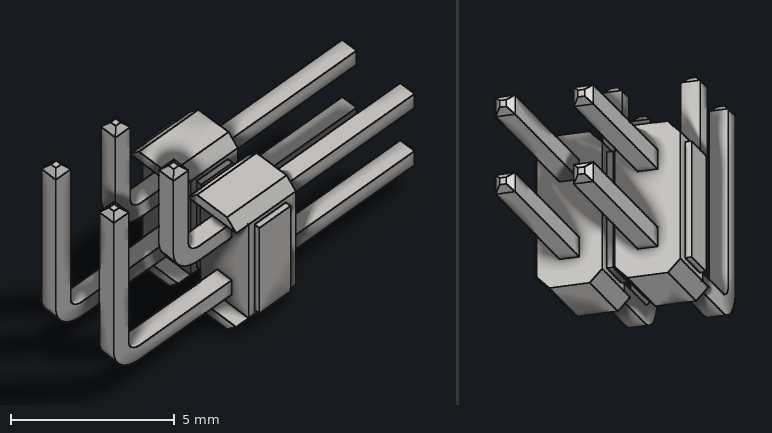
import cadquery as cq
import math


PITCH = 2.54
COLUMN_COUNT = 2
TOTAL_LENGTH = 13.04
TOTAL_HEIGHT = 8.0

BLOCK_WIDTH = 2.13
BLOCK_HEIGHT = 4.98
BLOCK_DEPTH = 2.01
FLANGE_DEPTH = PITCH
FLANGE_HEIGHT = 0.4

PAD_DEPTH = 1.33
PAD_HEIGHT = 3.81
PAD_REAR_SETBACK = 0.43

PIN_SIZE = 0.64
PIN_TIP = 0.21
BEND_OUTER_RADIUS = 1.12
REAR_PIN_LENGTH = 6

REAR_TIP_Y = TOTAL_LENGTH / 2
LONG_PIN_FRONT_Y = -TOTAL_LENGTH / 2
BLOCK_REAR_Y = REAR_TIP_Y - REAR_PIN_LENGTH
UPPER_TIP_Z = TOTAL_HEIGHT - BLOCK_HEIGHT / 2
BEND_INNER_RADIUS = BEND_OUTER_RADIUS - PIN_SIZE


def box_behind(width, depth, height, rear_y):
    """Box centred in X and Z, with its rear face at rear_y."""
    return cq.Workplane("XY").box(width, depth, height).translate((0, rear_y - depth / 2, 0))


def make_block():
    """Block with bevelled top and bottom flanges and a raised pad on each side."""
    core_height = BLOCK_HEIGHT - 2 * FLANGE_HEIGHT
    core = box_behind(BLOCK_WIDTH, BLOCK_DEPTH, core_height, BLOCK_REAR_Y)

    flange = (
        cq.Workplane("XZ", origin=(0, BLOCK_REAR_Y, 0))
        .moveTo(-BLOCK_WIDTH / 2, core_height / 2)
        .lineTo(BLOCK_WIDTH / 2, core_height / 2)
        .lineTo(BLOCK_WIDTH / 2 - FLANGE_HEIGHT, BLOCK_HEIGHT / 2)
        .lineTo(-BLOCK_WIDTH / 2 + FLANGE_HEIGHT, BLOCK_HEIGHT / 2)
        .close()
        .extrude(FLANGE_DEPTH)
    )
    pads = box_behind(PITCH, PAD_DEPTH, PAD_HEIGHT, BLOCK_REAR_Y - PAD_REAR_SETBACK)

    return core.union(flange).union(flange.mirror("XY")).union(pads)


def make_pin(center_z, front_y):
    """Square pin running forward along Y, then bent up to the upper tip."""
    bottom_z = center_z - PIN_SIZE / 2
    top_z = center_z + PIN_SIZE / 2
    leg_rear_y = front_y + PIN_SIZE
    bend_y = front_y + BEND_OUTER_RADIUS
    bend_z = bottom_z + BEND_OUTER_RADIUS
    diagonal = math.sqrt(0.5)

    pin = (
        cq.Workplane("YZ")
        .moveTo(REAR_TIP_Y, bottom_z)
        .lineTo(bend_y, bottom_z)
        .threePointArc(
            (bend_y - BEND_OUTER_RADIUS * diagonal, bend_z - BEND_OUTER_RADIUS * diagonal),
            (front_y, bend_z),
        )
        .lineTo(front_y, UPPER_TIP_Z)
        .lineTo(leg_rear_y, UPPER_TIP_Z)
        .lineTo(leg_rear_y, bend_z)
        .threePointArc(
            (bend_y - BEND_INNER_RADIUS * diagonal, bend_z - BEND_INNER_RADIUS * diagonal),
            (bend_y, top_z),
        )
        .lineTo(REAR_TIP_Y, top_z)
        .close()
        .extrude(PIN_SIZE / 2, both=True)
    )
    return pin.faces(">Y").chamfer(PIN_TIP).faces(">Z").chamfer(PIN_TIP)


def make_column():
    """One column: a block fused with a long lower pin and a short upper pin."""
    long_pin = make_pin(-PITCH / 2, LONG_PIN_FRONT_Y)
    short_pin = make_pin(PITCH / 2, LONG_PIN_FRONT_Y + PITCH)
    return make_block().union(long_pin).union(short_pin)


columns = []
for index in range(COLUMN_COUNT):
    column_x = (index - (COLUMN_COUNT - 1) / 2) * PITCH
    columns.append(make_column().translate((column_x, 0, 0)).val())

result = cq.Compound.makeCompound(columns)